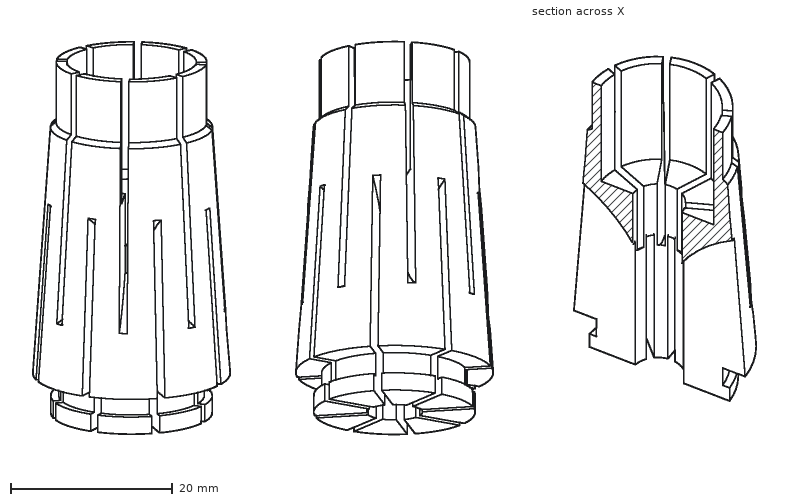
import cadquery as cq
import math

total_height = 45.1
flange_height = 2.2
neck_height = 2.9
chamfer_height = 0.6
collar_height = 7.8

wide_bore_floor = 29.1

flange_radius = 10.0
neck_radius = 9.0
cone_base_diameter = 24.5
cone_top_radius = 10.05
collar_radius = 9.35
bore_radius = 3.47
wide_bore_radius = 8.05

slots_per_end = 8
slot_width = 1.0
saw_radius = 20.0
bottom_slot_end = 27.55
top_slot_end = 13.4
bottom_slot_slope = 29.6
top_slot_slope = 19.5

cone_base = flange_height + neck_height
cone_base_radius = cone_base_diameter / 2
chamfer_top = total_height - collar_height
cone_top = chamfer_top - chamfer_height
slot_pitch = 360.0 / slots_per_end


def cone_radius_at(z):
    """Outer radius of the tapered body at height z."""
    fraction = (z - cone_base) / (cone_top - cone_base)
    return cone_base_radius + fraction * (cone_top_radius - cone_base_radius)


def make_sleeve():
    """Revolved collet body with its stepped bore."""
    return (
        cq.Workplane("XZ")
        .moveTo(bore_radius, 0)
        .lineTo(flange_radius, 0)
        .lineTo(flange_radius, flange_height)
        .lineTo(neck_radius, flange_height)
        .lineTo(neck_radius, cone_base)
        .lineTo(cone_base_radius, cone_base)
        .lineTo(cone_top_radius, cone_top)
        .lineTo(collar_radius, chamfer_top)
        .lineTo(collar_radius, total_height)
        .lineTo(wide_bore_radius, total_height)
        .lineTo(wide_bore_radius, wide_bore_floor)
        .lineTo(bore_radius, wide_bore_floor)
        .close()
        .revolve(360, (0, 0, 0), (0, 1, 0))
    )


def make_slot(end_height, end_slope, open_height, angle):
    """Radial saw cut open at one end; its blind end is the arc left by a round saw."""
    slope = math.radians(end_slope)
    toward_opening = math.copysign(1, open_height - end_height)
    center_radius = cone_radius_at(end_height) + saw_radius * math.sin(slope)
    center_height = end_height + toward_opening * saw_radius * math.cos(slope)

    def arc_height(radius):
        rise = math.sqrt(saw_radius**2 - (center_radius - radius) ** 2)
        return center_height - toward_opening * rise

    inner_radius = bore_radius / 2
    outer_radius = cone_base_radius + slot_width
    middle_radius = (inner_radius + outer_radius) / 2
    return (
        cq.Workplane("XZ")
        .moveTo(inner_radius, open_height)
        .lineTo(inner_radius, arc_height(inner_radius))
        .threePointArc((middle_radius, arc_height(middle_radius)), (outer_radius, arc_height(outer_radius)))
        .lineTo(outer_radius, open_height)
        .close()
        .extrude(slot_width / 2, both=True)
        .rotate((0, 0, 0), (0, 0, 1), angle)
    )


result = make_sleeve()
for index in range(slots_per_end):
    bottom_slot_angle = index * slot_pitch
    top_slot_angle = bottom_slot_angle + slot_pitch / 2
    result = result.cut(make_slot(bottom_slot_end, bottom_slot_slope, 0, bottom_slot_angle))
    result = result.cut(make_slot(top_slot_end, top_slot_slope, total_height, top_slot_angle))